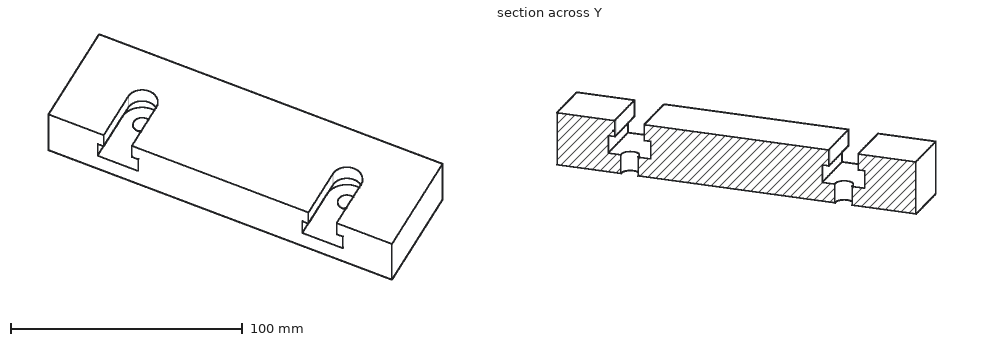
import cadquery as cq

length = 165.1
width = 49.9
height = 24.5

slot_inset = 33.4
slot_end_y = 24.0
neck_width = 13.5
neck_depth = 7.6
head_width = 19.5
slot_depth = 15.5
hole_diameter = 8.0


def round_ended_channel(x, channel_width, floor_z, channel_height):
    """Channel running in from the front face to a half-round end."""
    radius = channel_width / 2
    return (
        cq.Workplane("XY", origin=(x, 0, floor_z))
        .moveTo(-radius, 0)
        .lineTo(radius, 0)
        .lineTo(radius, slot_end_y)
        .threePointArc((0, slot_end_y + radius), (-radius, slot_end_y))
        .close()
        .extrude(channel_height)
    )


def t_slot(x):
    """Narrow neck above a wider head, with a through hole in the floor."""
    floor_z = height - slot_depth
    neck = round_ended_channel(x, neck_width, floor_z, slot_depth)
    head = round_ended_channel(x, head_width, floor_z, slot_depth - neck_depth)
    hole = cq.Workplane("XY").center(x, slot_end_y).circle(hole_diameter / 2).extrude(height)
    return neck.union(head).union(hole)


result = cq.Workplane("XY").box(length, width, height, centered=False)
for slot_x in (slot_inset, length - slot_inset):
    result = result.cut(t_slot(slot_x))